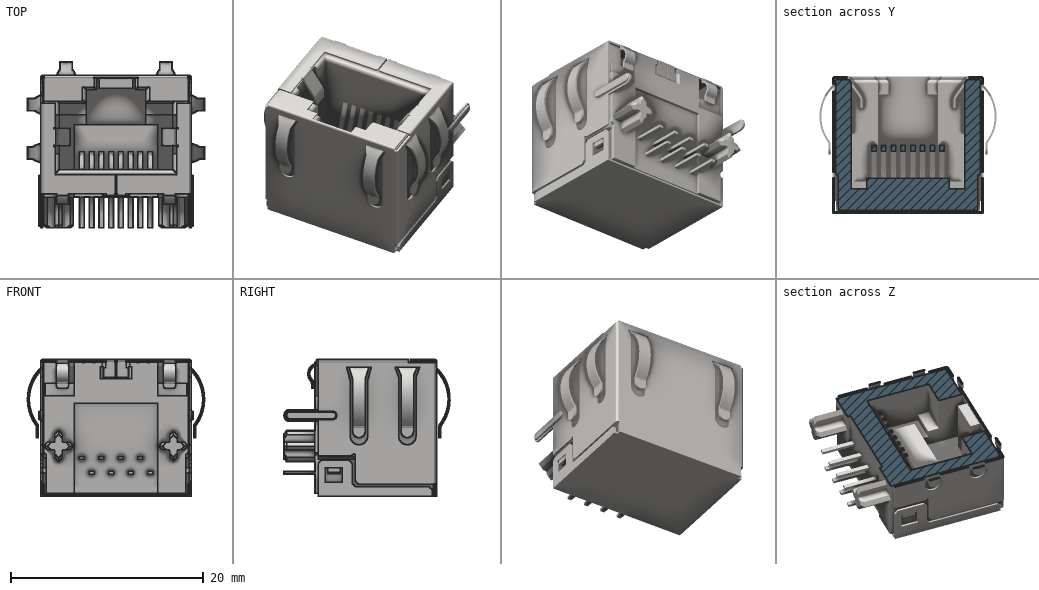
import cadquery as cq
import math


SHEET = 0.2
SHIELD_HALF = 7.84
SHIELD_FRONT = 0.33
SHIELD_BACK = 12.69
SHIELD_TOP = 14.25
SIDE_BEND = 0.28
TOP_BEND = 0.22
INNER_HALF = SHIELD_HALF - SHEET
TOP_UNDERSIDE = SHIELD_TOP - SHEET

OVERLAP = 0.18
PICK_MARGIN = 0.02

CLEARANCE = 0.11
LOW_STEP = 0.25
HOUSING_HALF = INNER_HALF - CLEARANCE
HOUSING_LOW_HALF = HOUSING_HALF - LOW_STEP
HOUSING_BACK = SHIELD_BACK - SHEET - CLEARANCE
HOUSING_BOTTOM = SHEET + CLEARANCE
HOUSING_TOP = TOP_UNDERSIDE - CLEARANCE
FRONT_SHOULDER_Z = 4.57
SHOULDER_Z = 4.13
SHOULDER_DROP = 0.24

CAVITY_HALF = 5.9
CAVITY_FRONT = 2.88
CAVITY_BACK = 9.75
CHANNEL_HALF = 3.1
CHANNEL_BACK = 11.2
THROAT_HALF = 2.01
TONGUE_DROP = 1.55
MOUTH_RADIUS = 0.4
CAVITY_FLOOR = 2.58
CHANNEL_FLOOR = 1.48

OPENING_HALF = CAVITY_HALF + MOUTH_RADIUS
OPENING_FRONT = 2.32
FLAP_FRONT = 9.95
FLAP_HALF = 7.5
FLAP_GAP = 0.18
FLAP_STEP_Y = 11.45
FLAP_THROAT_HALF = 2.29

TIP_Y = -3.2
INSERT_HALF = 4.33
INSERT_TOP = 9.7
INSERT_RECESS = SHIELD_FRONT
INSERT_BACK = 7.52
LEAD_COUNT = 8
LEAD_PITCH = 1.01
LEAD_WIDTH = 0.5
LEAD_THICKNESS = 0.3
LEAD_ROWS = (4.0, 2.47)
PEG_X = 5.97
PEG_Z = 5.24
PEG_REACH = 1.55
LEFT_PEG_REACH_Z = 1.65
PEG_ARM = 0.75
PEG_CORNER = 0.2
PEG_CHAMFER = 0.28

OVERALL_HALF = 9.22
SPRING_BULGE = OVERALL_HALF - SHIELD_HALF
SPRING_RADIUS = 4.52
SPRING_APEX_Z = 10.1
SPRING_TOP = 13.42
SPRING_BEND_Z = 7.34
SPRING_TIP = 6.12
TAIL_BEND = 0.37
SPRING_WIDTH = 1.3
SPRING_ROOT_WIDTH = 2.07
WINDOW_WIDTH = 1.8
WINDOW_ROOT_WIDTH = 2.56
WINDOW_BOTTOM = 5.38
WINDOW_EXTRA_FLARE = 0.18
SHORT_FLARE = 0.83
LONG_FLARE = 1.22
SIDE_SPRINGS = ((9.63, SHORT_FLARE), (4.6, LONG_FLARE))
BACK_SPRING_X = 5.18


def block(x0, x1, y0, y1, z0, z1):
    return cq.Workplane("XY").box(x1 - x0, y1 - y0, z1 - z0, centered=False).translate((x0, y0, z0))


def centred(half, y0, y1, z0, z1):
    return block(-half, half, y0, y1, z0, z1)


def both_sides(shape):
    return shape.union(shape.mirror("YZ"))


def side_prism(sketch, x0, x1):
    """Extrude a closed YZ sketch from x0 to x1."""
    return sketch.extrude(x1 - x0).translate((x0, 0, 0))


def housing_slab(shoulder_z, y0, y1):
    """Stretch of the housing that narrows below a sloping shoulder."""
    half_outline = [
        (0, HOUSING_BOTTOM),
        (HOUSING_LOW_HALF, HOUSING_BOTTOM),
        (HOUSING_LOW_HALF, shoulder_z - SHOULDER_DROP),
        (HOUSING_HALF, shoulder_z),
        (HOUSING_HALF, HOUSING_TOP),
        (0, HOUSING_TOP),
    ]
    half = cq.Workplane("XZ").polyline(half_outline).close().extrude(y0 - y1).translate((0, y0, 0))
    return both_sides(half)


def housing_body():
    front = housing_slab(FRONT_SHOULDER_Z, 0, SHIELD_FRONT)
    return front.union(housing_slab(SHOULDER_Z, SHIELD_FRONT, HOUSING_BACK))


def cavity():
    """Plug cavity with its latch channel, the mouth edge rounded outwards."""
    mouth = [
        (CAVITY_HALF, CAVITY_FRONT),
        (CAVITY_HALF, CAVITY_BACK),
        (CHANNEL_HALF, CAVITY_BACK),
        (CHANNEL_HALF, CHANNEL_BACK),
        (THROAT_HALF, CHANNEL_BACK),
        (THROAT_HALF, HOUSING_BACK + OVERLAP),
    ]
    outline = mouth + [(-x, y) for x, y in reversed(mouth)]
    tongue_bottom = HOUSING_TOP - TONGUE_DROP
    void = cq.Workplane("XY").workplane(offset=tongue_bottom).polyline(outline).close().extrude(TONGUE_DROP)
    void = void.union(centred(CAVITY_HALF, CAVITY_FRONT, CAVITY_BACK, CAVITY_FLOOR, tongue_bottom))
    return void.union(centred(CHANNEL_HALF, INSERT_BACK, HOUSING_BACK + OVERLAP, CHANNEL_FLOOR, tongue_bottom))


def round_mouth(body):
    """Round every edge of the cavity where it meets the top face."""
    near = (-CAVITY_HALF - PICK_MARGIN, CAVITY_FRONT - PICK_MARGIN, HOUSING_TOP - PICK_MARGIN)
    far = (CAVITY_HALF + PICK_MARGIN, HOUSING_BACK - PICK_MARGIN, HOUSING_TOP + PICK_MARGIN)
    return body.edges(cq.selectors.BoxSelector(near, far)).fillet(MOUTH_RADIUS)


LATCH_Y = 6.25
LATCH_WIDTH = 1.79
SLOT_Y0 = 4.54
SLOT_Y1 = 8.55
SLOT_FLOOR = 8.3
SHELF_TOP = 3.32
LEDGE_FRONT = 11.34
LEDGE_HALF = 1.73
LEDGE_TOP = 7.0
INSERT_STEP_TOP = 3.69


def cavity_details(body):
    latch_slot = block(CAVITY_HALF - OVERLAP, OPENING_HALF, SLOT_Y0, SLOT_Y1, SLOT_FLOOR, HOUSING_TOP)
    shelf = block(CHANNEL_HALF, CAVITY_HALF, SLOT_Y1, CAVITY_BACK, CAVITY_FLOOR, SHELF_TOP)
    ledge = centred(LEDGE_HALF, LEDGE_FRONT, HOUSING_BACK, CHANNEL_FLOOR, LEDGE_TOP)
    step = centred(INSERT_HALF, CAVITY_FRONT, INSERT_BACK, CAVITY_FLOOR, INSERT_STEP_TOP)
    return body.cut(both_sides(latch_slot)).union(both_sides(shelf)).union(ledge).union(step)


SPRING_RECESS_Z = 10.45
SPRING_RECESS_STEP_Z = 11.76
SPRING_RECESS_STEP_HALF = 7.34
SPRING_RECESS_STEP_Y = 0.45
SPRING_PIT_HALF = 6.07
SPRING_PIT_Y = 2.03
TAB_RECESS_BOTTOM = 12.25
TAB_RECESS_SHOULDER = 13.5
TAB_RECESS_HALF = 1.62
TAB_RECESS_FLOOR_HALF = 1.33
TAB_RECESS_NECK_HALF = 1.42


def front_recesses(body):
    insert_recess = centred(INSERT_HALF, 0, INSERT_RECESS, 0, INSERT_TOP)
    shallow = block(INSERT_HALF, SHIELD_HALF, 0, SHIELD_FRONT, SPRING_RECESS_Z, SHIELD_TOP)
    stepped = block(INSERT_HALF, SHIELD_HALF, 0, SPRING_RECESS_STEP_Y, SPRING_RECESS_STEP_Z, SHIELD_TOP)
    pit = block(INSERT_HALF, SPRING_PIT_HALF, 0, SPRING_PIT_Y, SPRING_RECESS_STEP_Z, SHIELD_TOP)
    edge = block(SPRING_RECESS_STEP_HALF, SHIELD_HALF, 0, SPRING_RECESS_STEP_Y, SPRING_RECESS_Z, SHIELD_TOP)
    corner = both_sides(shallow.union(stepped).union(pit).union(edge))
    tab_outline = [
        (-TAB_RECESS_HALF, 0),
        (TAB_RECESS_HALF, 0),
        (TAB_RECESS_FLOOR_HALF, SHIELD_FRONT),
        (-TAB_RECESS_FLOOR_HALF, SHIELD_FRONT),
    ]
    tab_recess = (
        cq.Workplane("XY")
        .workplane(offset=TAB_RECESS_BOTTOM)
        .polyline(tab_outline)
        .close()
        .extrude(TAB_RECESS_SHOULDER - TAB_RECESS_BOTTOM)
    )
    neck = centred(TAB_RECESS_NECK_HALF, 0, SHIELD_FRONT, TAB_RECESS_SHOULDER, SHIELD_TOP)
    return body.cut(insert_recess).cut(corner).cut(tab_recess).cut(neck)


def peg(x, reach_z):
    """Cross-shaped board peg with pointed arms and a chamfered end."""
    length = -TIP_Y
    arm_x = cq.Workplane("XZ").rect(2 * PEG_REACH, PEG_ARM).extrude(length)
    arm_z = cq.Workplane("XZ").rect(PEG_ARM, 2 * reach_z).extrude(length)
    core = cq.Workplane("XZ").rect(PEG_ARM + 2 * PEG_CORNER, PEG_ARM + 2 * PEG_CORNER).extrude(length)
    corner_offset = PEG_ARM / 2 + PEG_CORNER
    corners = [(sx * corner_offset, sz * corner_offset) for sx in (-1, 1) for sz in (-1, 1)]
    core = core.cut(cq.Workplane("XZ").pushPoints(corners).circle(PEG_CORNER).extrude(length))
    diamond = [(PEG_REACH, 0), (0, reach_z), (-PEG_REACH, 0), (0, -reach_z)]
    envelope = cq.Workplane("XZ").polyline(diamond).close().extrude(length).faces("<Y").chamfer(PEG_CHAMFER)
    return arm_x.union(arm_z).union(core).intersect(envelope).translate((x, 0, PEG_Z))


CONTACT_ROOT = (2.58, 9.59)
CONTACT_KNEE = (4.5, 4.43)
CONTACT_END = (4.72, 3.69)


def contacts():
    """Board leads in two staggered rows, and the sloping contact strips in the cavity."""
    strip_outline = [
        CONTACT_ROOT,
        CONTACT_KNEE,
        CONTACT_END,
        (CONTACT_END[0] - LEAD_THICKNESS, CONTACT_END[1]),
        (CONTACT_KNEE[0] - LEAD_THICKNESS, CONTACT_KNEE[1]),
        (CONTACT_ROOT[0], CONTACT_ROOT[1] - 2 * LEAD_THICKNESS),
    ]
    half = LEAD_WIDTH / 2
    group = None
    for i in range(LEAD_COUNT):
        x = (i - (LEAD_COUNT - 1) / 2) * LEAD_PITCH
        z = LEAD_ROWS[i % 2] - LEAD_THICKNESS / 2
        lead = block(x - half, x + half, TIP_Y, INSERT_RECESS + OVERLAP, z, z + LEAD_THICKNESS)
        strip = side_prism(cq.Workplane("YZ").polyline(strip_outline).close(), x - half, x + half)
        pair = lead.union(strip)
        group = pair if group is None else group.union(pair)
    return group


CATCH_Y0 = 1.35
CATCH_Y1 = 2.65
CATCH_Z0 = 2.38
CATCH_SLOPE = 0.13
WINDOW_Y0 = 1.07
WINDOW_Y1 = 2.88
WINDOW_Z0 = 1.48
WINDOW_Z1 = 2.99


def catch():
    """Wedge on the housing side that locks under the top edge of the flange window."""
    reach = SHIELD_HALF - SHEET / 2
    wedge = [
        (HOUSING_LOW_HALF - OVERLAP, CATCH_Z0),
        (HOUSING_LOW_HALF, CATCH_Z0),
        (reach, CATCH_Z0 + CATCH_SLOPE),
        (reach, WINDOW_Z1),
        (HOUSING_LOW_HALF - OVERLAP, WINDOW_Z1),
    ]
    right = cq.Workplane("XZ").polyline(wedge).close().extrude(CATCH_Y0 - CATCH_Y1)
    return both_sides(right.translate((0, CATCH_Y0, 0)))


def housing():
    body = round_mouth(housing_body().cut(cavity()))
    body = front_recesses(cavity_details(body))
    body = body.union(peg(-PEG_X, LEFT_PEG_REACH_Z)).union(peg(PEG_X, PEG_REACH))
    return body.union(contacts()).union(catch())


SEAM_Z = 1.27
FLANGE_LOW_Z = 1.0
FLANGE_HIGH_Z = 3.76
FLANGE_STEP_Y = 3.91
FLANGE_BACK = 12.23
BACK_FOLD_HALF = 7.47
SEAM_STEP_Y = 4.2
SEAM_TIP_Z = 4.43
SEAM_TIP_RISE = 0.1
SEAM_HIGH_Z = 4.25
SEAM_CORNER = 0.33


def seam():
    """Gap in a side wall between the main wall and the flange folded up from the bottom."""
    seam_width = SEAM_STEP_Y - FLANGE_STEP_Y
    beyond_back = SHIELD_BACK + OVERLAP
    beyond_front = SHIELD_FRONT - OVERLAP
    outline = [
        (beyond_back, SEAM_Z),
        (SEAM_STEP_Y + SEAM_CORNER, SEAM_Z),
        (SEAM_STEP_Y, SEAM_Z + SEAM_CORNER),
        (SEAM_STEP_Y, SEAM_TIP_Z - SEAM_TIP_RISE),
        (SEAM_STEP_Y - seam_width / 2, SEAM_TIP_Z),
        (FLANGE_STEP_Y, SEAM_TIP_Z - SEAM_TIP_RISE),
        (FLANGE_STEP_Y - SEAM_TIP_RISE, SEAM_HIGH_Z),
        (beyond_front, SEAM_HIGH_Z),
        (beyond_front, FLANGE_HIGH_Z - SEAM_CORNER),
        (SHIELD_FRONT, FLANGE_HIGH_Z - SEAM_CORNER),
        (SHIELD_FRONT + SEAM_CORNER, FLANGE_HIGH_Z),
        (FLANGE_STEP_Y - SEAM_CORNER, FLANGE_HIGH_Z),
        (FLANGE_STEP_Y, FLANGE_HIGH_Z - SEAM_CORNER),
        (FLANGE_STEP_Y, FLANGE_LOW_Z + SEAM_CORNER),
        (FLANGE_STEP_Y + SEAM_CORNER, FLANGE_LOW_Z),
        (FLANGE_BACK - SEAM_CORNER, FLANGE_LOW_Z),
        (FLANGE_BACK, FLANGE_LOW_Z - SEAM_CORNER),
        (FLANGE_BACK, SHEET),
        (beyond_back, SHEET),
    ]
    return side_prism(cq.Workplane("YZ").polyline(outline).close(), INNER_HALF, SHIELD_HALF + OVERLAP)


def top_opening():
    """Plug opening in the top, including the outline of the back flap."""
    half_outline = [
        (0, OPENING_FRONT),
        (OPENING_HALF, OPENING_FRONT),
        (OPENING_HALF, FLAP_FRONT),
        (CHANNEL_HALF + MOUTH_RADIUS, FLAP_FRONT),
        (CHANNEL_HALF + MOUTH_RADIUS, FLAP_STEP_Y),
        (FLAP_THROAT_HALF, FLAP_STEP_Y),
        (FLAP_THROAT_HALF, SHIELD_BACK - SHEET),
        (0, SHIELD_BACK - SHEET),
    ]
    half = cq.Workplane("XY").polyline(half_outline).close().extrude(SHEET)
    half = half.translate((0, 0, TOP_UNDERSIDE))
    return both_sides(half)


CENTRE_SLIT = 0.2
LATCH_NOTCH_HALF = OPENING_HALF + 0.15
LATCH_NOTCH_WIDTH = LATCH_WIDTH + 0.18


def shield_walls():
    depth = SHIELD_BACK - SHIELD_FRONT
    walls = cq.Workplane("XY").box(2 * SHIELD_HALF, depth, SHIELD_TOP, centered=(True, False, False))
    walls = walls.translate((0, SHIELD_FRONT, 0)).edges("|Z and >Y").fillet(SIDE_BEND)
    walls = walls.faces(">Z").edges("not <Y").fillet(TOP_BEND)
    walls = walls.cut(centred(INNER_HALF, 0, SHIELD_BACK - SHEET, SHEET, TOP_UNDERSIDE))
    walls = walls.cut(top_opening())
    gap_y = FLAP_FRONT - FLAP_GAP
    notch_y0 = LATCH_Y - LATCH_NOTCH_WIDTH / 2
    notch_y1 = LATCH_Y + LATCH_NOTCH_WIDTH / 2
    open_x = OPENING_HALF - OVERLAP
    flap_gap = block(open_x, SHIELD_HALF, gap_y, FLAP_FRONT, HOUSING_TOP, SHIELD_TOP)
    flap_side = block(FLAP_HALF, SHIELD_HALF, gap_y, SHIELD_BACK, HOUSING_TOP, SHIELD_TOP)
    window = block(INNER_HALF, SHIELD_HALF, WINDOW_Y0, WINDOW_Y1, WINDOW_Z0, WINDOW_Z1)
    notch = block(open_x, LATCH_NOTCH_HALF, notch_y0, notch_y1, TOP_UNDERSIDE, SHIELD_TOP)
    walls = walls.cut(both_sides(flap_gap.union(flap_side).union(window).union(notch).union(seam())))
    back_corner = block(BACK_FOLD_HALF, SHIELD_HALF, FLANGE_BACK, SHIELD_BACK, 0, SEAM_Z)
    walls = walls.cut(both_sides(back_corner))
    return walls.cut(centred(CENTRE_SLIT / 2, 0, OPENING_FRONT, TOP_UNDERSIDE, SHIELD_TOP))


def leaf_outline(root_width, width, flare, tip):
    """YZ outline of a strip that flares towards its root and ends in a full round."""
    half = width / 2
    return (
        cq.Workplane("YZ")
        .moveTo(root_width / 2, SPRING_TOP)
        .lineTo(half, SPRING_TOP - flare)
        .lineTo(half, tip + half)
        .threePointArc((0, tip), (-half, tip + half))
        .lineTo(-half, SPRING_TOP - flare)
        .lineTo(-root_width / 2, SPRING_TOP)
        .close()
    )


def bowed_strip(centre, radius, root_x, bend_z, tip_z, width):
    """Sheet strip bowed towards -X, from its root at root_x down to a straight tail."""
    centre_x, centre_z = centre
    inner = radius - SHEET

    def rise(r, x):
        return math.sqrt(r**2 - (x - centre_x) ** 2)

    tail_x = centre_x - math.sqrt(radius**2 - (centre_z - bend_z) ** 2)
    tail_inner_x = tail_x + SHEET
    strip = (
        cq.Workplane("XZ")
        .moveTo(root_x, centre_z + rise(radius, root_x))
        .threePointArc((centre_x - radius, centre_z), (tail_x, bend_z))
        .lineTo(tail_x, tip_z)
        .lineTo(tail_inner_x, tip_z)
        .lineTo(tail_inner_x, centre_z - rise(inner, tail_inner_x))
        .threePointArc((centre_x - inner, centre_z), (root_x, centre_z + rise(inner, root_x)))
        .close()
        .extrude(width / 2, both=True)
    )
    near = (tail_x - PICK_MARGIN, -width, bend_z - SHEET)
    far = (tail_inner_x + PICK_MARGIN, width, bend_z + 2 * SHEET)
    return strip.edges(cq.selectors.BoxSelector(near, far)).edges("|Y").fillet(TAIL_BEND)


def wall_spring(flare):
    """Bowed spring standing off a wall whose outer face is X = 0, with outwards as -X."""
    centre = (SPRING_RADIUS - SPRING_BULGE, SPRING_APEX_Z)
    strip = bowed_strip(centre, SPRING_RADIUS, SHEET, SPRING_BEND_Z, SPRING_TIP, SPRING_ROOT_WIDTH)
    outline = leaf_outline(SPRING_ROOT_WIDTH, SPRING_WIDTH, flare, SPRING_TIP)
    return strip.intersect(side_prism(outline, -SPRING_RADIUS, SPRING_RADIUS))


def wall_window(flare):
    """Opening left in a wall by a bowed spring, for the same placement as wall_spring."""
    outline = leaf_outline(WINDOW_ROOT_WIDTH, WINDOW_WIDTH, flare + WINDOW_EXTRA_FLARE, WINDOW_BOTTOM)
    return side_prism(outline, 0, SHEET)


def on_left_wall(shape, y):
    return shape.translate((-SHIELD_HALF, y, 0))


def on_back_wall(shape, x):
    return shape.rotate((0, 0, 0), (0, 0, 1), -90).translate((x, SHIELD_BACK, 0))


def add_wall_springs(walls):
    windows = on_back_wall(wall_window(SHORT_FLARE), -BACK_SPRING_X)
    springs = on_back_wall(wall_spring(SHORT_FLARE), -BACK_SPRING_X)
    for y, flare in SIDE_SPRINGS:
        windows = windows.union(on_left_wall(wall_window(flare), y))
        springs = springs.union(on_left_wall(wall_spring(flare), y))
    return walls.cut(both_sides(windows)).union(both_sides(springs))


FRONT_SPRING_X = 5.57
FRONT_SPRING_WIDTH = 1.25
FRONT_SPRING_RADIUS = 1.1
FRONT_SPRING_CENTRE = (0.39, 12.76)
FRONT_SPRING_BEND_Z = 11.93
FRONT_SPRING_TIP = 11.25
FRONT_SPRING_CORNER = 0.25
LIP_Y = SHIELD_FRONT - SHEET
LIP_BEND = 0.17


def folded_edge(lip):
    """Round the top outer edge of a lip folded down from the top."""
    return lip.edges("|X and >Z and <Y").fillet(LIP_BEND)


def front_springs():
    """Small bowed springs hanging from the front edge of the top."""
    strip = bowed_strip(
        FRONT_SPRING_CENTRE,
        FRONT_SPRING_RADIUS,
        SHIELD_FRONT,
        FRONT_SPRING_BEND_Z,
        FRONT_SPRING_TIP,
        FRONT_SPRING_WIDTH,
    )
    strip = strip.edges("|X and <Z").fillet(FRONT_SPRING_CORNER).rotate((0, 0, 0), (0, 0, 1), 90)
    lip_bottom = FRONT_SPRING_CENTRE[1] + FRONT_SPRING_RADIUS - SHEET
    half = FRONT_SPRING_WIDTH / 2
    lip = folded_edge(centred(half, LIP_Y, SHIELD_FRONT, lip_bottom, SHIELD_TOP))
    return both_sides(strip.union(lip).translate((FRONT_SPRING_X, 0, 0)))


TAB_BOTTOM = 12.4
TAB_HOOK_Z = 13.4
TAB_HOOK_HALF = 1.27
TAB_HALF = 1.05


def front_tabs():
    """Pair of hooked tabs folded down into the recess at the front centre."""
    stem = folded_edge(block(CENTRE_SLIT / 2, TAB_HALF, LIP_Y, SHIELD_FRONT, TAB_BOTTOM, SHIELD_TOP))
    hook = block(CENTRE_SLIT / 2, TAB_HOOK_HALF, LIP_Y, SHIELD_FRONT, TAB_BOTTOM, TAB_HOOK_Z)
    return both_sides(stem.union(hook))


GROUND_Z = 8.43
GROUND_WIDTH = 1.24
EMBOSS_WIDTH = 0.85
EMBOSS_HEIGHT = 0.22
EMBOSS_BACK = 2.27
EMBOSS_FRONT = -3.02
EMBOSS_CHAMFER = 0.07


def rounded_bar(y0, y1, width, x0, x1):
    outline = cq.Workplane("YZ").center((y0 + y1) / 2, GROUND_Z).slot2D(y1 - y0, width)
    return side_prism(outline, x0, x1)


def ground_tabs():
    """Board tabs on the side walls, stiffened by an embossed rib."""
    tab = rounded_bar(TIP_Y, SHIELD_FRONT + GROUND_WIDTH, GROUND_WIDTH, INNER_HALF, SHIELD_HALF)
    rib = rounded_bar(EMBOSS_FRONT, EMBOSS_BACK, EMBOSS_WIDTH, SHIELD_HALF, SHIELD_HALF + EMBOSS_HEIGHT)
    return both_sides(tab.union(rib.faces(">X").chamfer(EMBOSS_CHAMFER)))


LATCH_BEND_X = 6.09
LATCH_BEND_Z = 13.98
LATCH_KNEE_X = 4.89
LATCH_KNEE_Z = 12.26
LATCH_TIP_X = 4.74
LATCH_TIP_Z = 11.9
LATCH_END_Z = 10.97


def plug_latches():
    """Leaves folded down from the opening edge that bear on the sides of the plug."""
    outline = [
        (LATCH_NOTCH_HALF, SHIELD_TOP),
        (LATCH_NOTCH_HALF - SHEET, SHIELD_TOP),
        (LATCH_BEND_X, LATCH_BEND_Z),
        (LATCH_KNEE_X, LATCH_KNEE_Z),
        (LATCH_TIP_X, LATCH_TIP_Z),
        (LATCH_TIP_X, LATCH_END_Z),
        (LATCH_TIP_X + SHEET, LATCH_END_Z),
        (LATCH_TIP_X + SHEET, LATCH_TIP_Z),
        (LATCH_KNEE_X + SHEET, LATCH_KNEE_Z - SHEET / 2),
        (LATCH_NOTCH_HALF, SHIELD_TOP - SHEET),
    ]
    leaf = cq.Workplane("XZ").polyline(outline).close().extrude(LATCH_WIDTH / 2, both=True)
    return both_sides(leaf.translate((0, LATCH_Y, 0)))


def shield():
    shell = add_wall_springs(shield_walls())
    return shell.union(front_springs()).union(front_tabs()).union(ground_tabs()).union(plug_latches())


result = housing().union(shield())